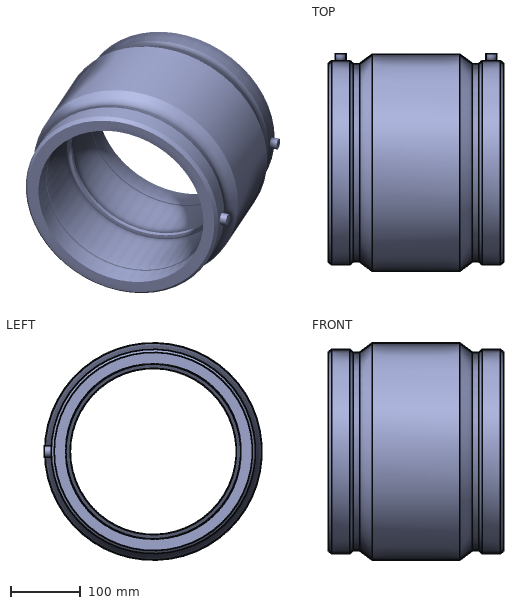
import cadquery as cq

half_length = 251.0 / 2
body_radius = 311.0 / 2
collar_radius = 292.2 / 2
neck_radius = 283.5 / 2
bore_radius = 250.0 / 2
stop_radius = 237.5 / 2

body_half_length = 62.3
neck_inner = 80.7
neck_outer = 90.0
collar_inner = 94.7
collar_outer = half_length - 4.7
stop_half_width = 3.0

groove_depth = 1.0
groove_width = 3.0
groove_inset = 31.5

pin_diameter = 16.0
pin_inset = 17.8
pin_top = 156.0


def disc(radius, x_start, width):
    """Solid disc about the X axis, starting at x_start."""
    return cq.Workplane("YZ").workplane(offset=x_start).circle(radius).extrude(width)


def make_outer_body():
    right_profile = [
        (body_half_length, body_radius),
        (neck_inner, neck_radius),
        (neck_outer, neck_radius),
        (collar_inner, collar_radius),
        (collar_outer, collar_radius),
        (half_length, neck_radius),
    ]
    left_profile = [(-x, radius) for x, radius in reversed(right_profile)]
    outline = [(-half_length, 0)] + left_profile + right_profile + [(half_length, 0)]
    return cq.Workplane("XY").polyline(outline).close().revolve(360, (0, 0, 0), (1, 0, 0))


def make_pin(x):
    """Radial pin standing on a collar, rooted in its wall."""
    root = (bore_radius + collar_radius) / 2
    return (
        cq.Workplane("XZ", origin=(x, root, 0))
        .circle(pin_diameter / 2)
        .extrude(root - pin_top)
    )


def make_bore():
    """Through bore with a central stop rib and a groove near each end."""
    bore = disc(stop_radius, -half_length, 2 * half_length)
    socket_depth = half_length - stop_half_width
    groove_outer = half_length - groove_inset
    for socket_start in (-half_length, stop_half_width):
        bore = bore.union(disc(bore_radius, socket_start, socket_depth))
    for groove_start in (-groove_outer, groove_outer - groove_width):
        bore = bore.union(disc(bore_radius + groove_depth, groove_start, groove_width))
    return bore


result = make_outer_body()
for side in (-1, 1):
    result = result.union(make_pin(side * (half_length - pin_inset)))
result = result.cut(make_bore())